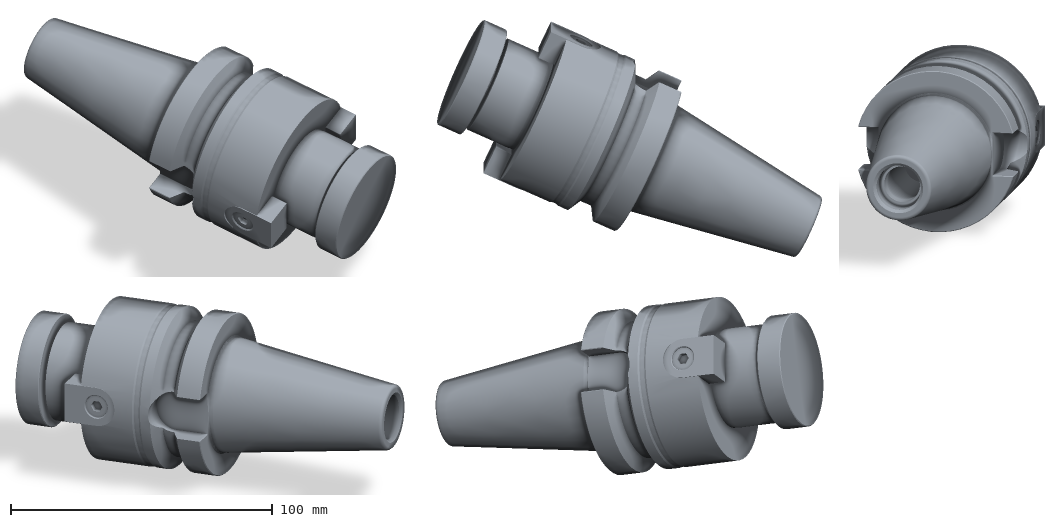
import cadquery as cq
import math

taper_end = 65.3
collar_end = 66.8
flange_face = 67.5
flange_end = 76.9
gripper_floor_start = 80.1
gripper_floor_end = 84.7
body_start = 87.6
mark_start = 91.5
mark_end = 94.9
body_end = 116.1
spigot_end = 135.2
head_start = 137.0
total_length = 146.5

taper_small_dia = 25.2
taper_large_dia = 44.4
flange_dia = 63.0
gripper_floor_dia = 52.7
mark_dia = 62.2
spigot_dia = 38.1
neck_dia = 19.0
head_dia = 43.8

small_end_fillet = 1.3
collar_fillet = flange_face - collar_end
mark_ramp = 0.7
relief_length = 1.8
relief_depth = 0.1
head_chamfer = 0.3
flange_chamfer = 0.3

bore_mouth_dia = 19.5
bore_dia = 17.3
bore_depth = 7.3
thread_dia = 13.9
thread_end = 44.0
bore_chamfer = (bore_mouth_dia - bore_dia) / 2

slot_width = 16.5
slot_floor = 22.3
slot_tip = 88.3
slot_rim_chamfer = 0.3

key_width = 15.5
key_face = 30.8
key_root = 19.5
key_start = 102.1
key_end = 122.7
screw_hole_dia = 9.1
screw_hole_chamfer = 0.3
screw_head_dia = 9.0
screw_hole_depth = 4.4
screw_head_recess = 0.6
hex_corner_dia = 4.7
hex_depth = 2.2


def revolved_holder():
    """Taper, flange, body, spigot and clamping screw turned about X."""
    flange_radius = flange_dia / 2
    collar_radius = taper_large_dia / 2
    mark_radius = mark_dia / 2
    relief_radius = spigot_dia / 2 - relief_depth
    fillet_mid = collar_fillet * math.sqrt(0.5)
    profile = (
        cq.Workplane("XY")
        .moveTo(0, 0)
        .lineTo(0, taper_small_dia / 2)
        .lineTo(taper_end, collar_radius)
        .lineTo(collar_end, collar_radius)
        .threePointArc(
            (collar_end + fillet_mid, collar_radius + collar_fillet - fillet_mid),
            (flange_face, collar_radius + collar_fillet),
        )
        .lineTo(flange_face, flange_radius - flange_chamfer)
        .lineTo(flange_face + flange_chamfer, flange_radius)
        .lineTo(flange_end, flange_radius)
        .lineTo(gripper_floor_start, gripper_floor_dia / 2)
        .lineTo(gripper_floor_end, gripper_floor_dia / 2)
        .lineTo(body_start, flange_radius)
        .lineTo(mark_start, flange_radius)
        .lineTo(mark_start + mark_ramp, mark_radius)
        .lineTo(mark_end - mark_ramp, mark_radius)
        .lineTo(mark_end, flange_radius)
        .lineTo(body_end, flange_radius)
        .lineTo(body_end, relief_radius)
        .lineTo(body_end + relief_length, relief_radius)
        .lineTo(body_end + relief_length, spigot_dia / 2)
        .lineTo(spigot_end, spigot_dia / 2)
        .lineTo(spigot_end, neck_dia / 2)
        .lineTo(head_start, neck_dia / 2)
        .lineTo(head_start, head_dia / 2 - head_chamfer)
        .lineTo(head_start + head_chamfer, head_dia / 2)
        .lineTo(total_length - head_chamfer, head_dia / 2)
        .lineTo(total_length, head_dia / 2 - head_chamfer)
        .lineTo(total_length, 0)
        .close()
    )
    turned = profile.revolve(360, (0, 0, 0), (1, 0, 0))
    return turned.faces("<X").edges().fillet(small_end_fillet)


def pull_stud_bore():
    """Stepped blind bore with a conical mouth."""
    return (
        cq.Workplane("XY")
        .moveTo(0, 0)
        .lineTo(0, bore_mouth_dia / 2)
        .lineTo(bore_chamfer, bore_dia / 2)
        .lineTo(bore_depth, bore_dia / 2)
        .lineTo(bore_depth, thread_dia / 2)
        .lineTo(thread_end, thread_dia / 2)
        .lineTo(thread_end, 0)
        .close()
        .revolve(360, (0, 0, 0), (1, 0, 0))
    )


def side_block(round_x, flat_x, width, inner, outer):
    """Block on the -Y side with a full round at round_x and a square end at flat_x."""
    round_center = round_x + math.copysign(width / 2, flat_x - round_x)
    return (
        cq.Workplane("XZ")
        .workplane(offset=inner)
        .moveTo(flat_x, width / 2)
        .lineTo(round_center, width / 2)
        .threePointArc((round_x, 0), (round_center, -width / 2))
        .lineTo(flat_x, -width / 2)
        .close()
        .extrude(outer - inner)
    )


def key_screw_cut():
    """Ring around the screw head, shallow recess above it and its hex socket."""
    screw_x = key_start + key_width / 2
    face = cq.Workplane("XZ").workplane(offset=key_face).center(screw_x, 0)
    mouth_dia = screw_hole_dia + 2 * screw_hole_chamfer
    hole = face.circle(screw_hole_dia / 2).extrude(-screw_hole_depth)
    mouth = (
        face.circle(mouth_dia / 2)
        .workplane(offset=-screw_hole_chamfer)
        .circle(screw_hole_dia / 2)
        .loft()
    )
    head = (
        face.workplane(offset=-screw_head_recess)
        .circle(screw_head_dia / 2)
        .extrude(screw_head_recess - screw_hole_depth)
    )
    socket = (
        face.workplane(offset=-screw_head_recess)
        .polygon(6, hex_corner_dia)
        .extrude(-hex_depth)
    )
    return hole.cut(head).union(mouth).union(socket)


def on_both_sides(feature):
    """The feature together with its copy turned half a turn about X."""
    return feature.union(feature.rotate((0, 0, 0), (1, 0, 0), 180))


def broken_slot_rim(body, side):
    """Body with the slot rims on the flange face and outside chamfered on one Y side (+1 or -1)."""
    inner_corner = (flange_face - slot_rim_chamfer, side * (slot_floor + slot_rim_chamfer), -slot_width)
    outer_corner = (flange_end, side * flange_dia, slot_width)
    rim = body.edges(cq.selectors.BoxSelector(inner_corner, outer_corner))
    return rim.chamfer(slot_rim_chamfer)


drive_slot = side_block(slot_tip, taper_end, slot_width, slot_floor, flange_dia)
key_seat = side_block(key_start, key_end, key_width, key_face, flange_dia)
drive_key = side_block(key_start, key_end, key_width, key_root, key_face)

holder = (
    revolved_holder()
    .cut(pull_stud_bore())
    .cut(on_both_sides(drive_slot))
)
for side in (1, -1):
    holder = broken_slot_rim(holder, side)

result = (
    holder.cut(on_both_sides(key_seat))
    .union(on_both_sides(drive_key))
    .cut(on_both_sides(key_screw_cut()))
)